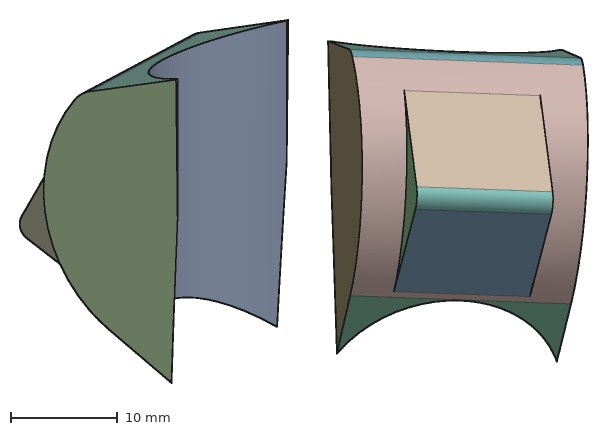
import cadquery as cq
import math


back_radius = 15.0
back_centre_x = -3.7
front_face_x = -4.42
top_corner_z = 13.06
top_slope = math.radians(15)
flank_target_x = -5.15
flank_target_z = -16.95
top_round_radius = 3.0

top_half_width = 11.2
vertical_draft = 1.3
lengthwise_draft = 0.45

channel_radius = 11.75

wedge_width = 13.0
wedge_side = 14.92
wedge_round_radius = 1.5
wedge_direction = 195.0
square_diagonal = 45.0

tool_size = 100.0


def back_point(angle):
    """Point on the round back at an angle measured from +X towards +Z."""
    return (
        back_centre_x + back_radius * math.cos(angle),
        back_radius * math.sin(angle),
    )


def top_line_angle():
    """Angle on the round back where the top slope meets it."""
    front_to_centre = back_centre_x - front_face_x
    height_above_centre = top_corner_z + front_to_centre * math.tan(top_slope)
    distance_to_line = height_above_centre * math.cos(top_slope)
    return math.pi + top_slope - math.asin(distance_to_line / back_radius)


def flank_angle():
    """Angle on the round back where the bottom flank leaves it as a tangent."""
    target_dx = flank_target_x - back_centre_x
    target_distance = math.hypot(target_dx, flank_target_z)
    target_angle = math.atan2(flank_target_z, target_dx) + 2 * math.pi
    return target_angle - math.acos(back_radius / target_distance)


def make_body():
    """Sloped top, round back, tangent bottom flank and flat front."""
    top_angle = top_line_angle()
    bottom_angle = flank_angle()
    middle_angle = (top_angle + bottom_angle) / 2
    top_x, top_z = back_point(top_angle)
    bottom_x, bottom_z = back_point(bottom_angle)
    flank_slope = (flank_target_z - bottom_z) / (flank_target_x - bottom_x)
    front_bottom_z = bottom_z + flank_slope * (front_face_x - bottom_x)

    outline = (
        cq.Workplane("XZ")
        .moveTo(front_face_x, top_corner_z)
        .lineTo(top_x, top_z)
        .threePointArc(back_point(middle_angle), (bottom_x, bottom_z))
        .lineTo(front_face_x, front_bottom_z)
        .close()
    )
    body = outline.extrude(top_half_width, both=True)
    top_back_edge = cq.selectors.NearestToPointSelector((top_x, 0, top_z))
    return body.edges(top_back_edge).fillet(top_round_radius)


def make_side_cutter():
    """Block whose inner face is the drafted +Y side of the body."""
    return (
        cq.Workplane("XY")
        .box(tool_size, tool_size, tool_size, centered=(True, False, True))
        .rotate((0, 0, 0), (1, 0, 0), -vertical_draft)
        .rotate((0, 0, 0), (0, 0, 1), lengthwise_draft)
        .translate((front_face_x, top_half_width, top_corner_z))
    )


def make_wedge():
    """Square bar with one rounded edge, turned to point backwards and down."""
    return (
        cq.Workplane("XZ")
        .rect(wedge_side, wedge_side, centered=False)
        .extrude(wedge_width / 2, both=True)
        .edges("|Y and >X and >Z")
        .fillet(wedge_round_radius)
        .rotate((0, 0, 0), (0, 1, 0), square_diagonal - wedge_direction)
        .translate((back_centre_x, 0, 0))
    )


def make_channel():
    """Vertical cylinder that hollows the front of the saddle."""
    return cq.Workplane("XY").circle(channel_radius).extrude(tool_size / 2, both=True)


side_cutter = make_side_cutter()
body = make_body().cut(side_cutter).cut(side_cutter.mirror("XZ"))
result = body.union(make_wedge()).cut(make_channel())